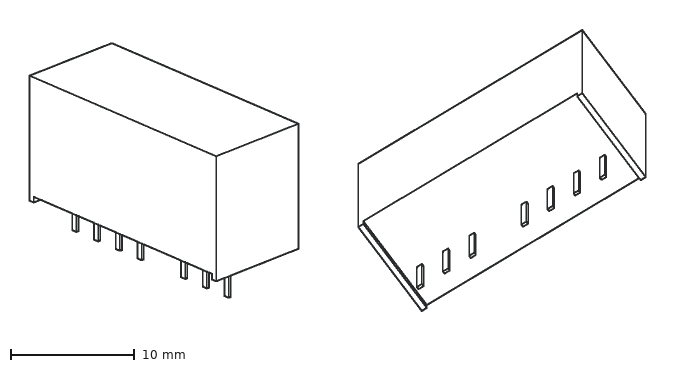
import cadquery as cq

housing_length = 21.8
housing_width = 9.2
total_height = 14.1
foot_length = 0.5
foot_height = 0.5

pin_width = 0.5
pin_thickness = 0.25
pin_below_feet = 3.0
pin_row_span = 17.79
pin_row_y = -1.4
pin_places = 8
empty_place = 4
pin_pitch = pin_row_span / (pin_places - 1)

housing_height = total_height - pin_below_feet
pin_length = pin_below_feet + foot_height


def make_housing():
    """Block with a channel across its underside that leaves a foot at each end."""
    block = cq.Workplane("XY").box(
        housing_length, housing_width, housing_height, centered=(True, True, False)
    )
    channel = cq.Workplane("XY").box(
        housing_length - 2 * foot_length, housing_width, foot_height, centered=(True, True, False)
    )
    return block.cut(channel)


def make_pin(x):
    """Flat pin hanging from the channel ceiling, centred at x."""
    return (
        cq.Workplane("XY")
        .box(pin_width, pin_thickness, pin_length, centered=(True, True, False))
        .translate((x, pin_row_y, -pin_below_feet))
    )


housing = make_housing()

first_pin_x = -pin_row_span / 2
pins = []
for place in range(pin_places):
    if place != empty_place:
        pins.append(make_pin(first_pin_x + place * pin_pitch))

result = cq.Compound.makeCompound([housing.val(), *[pin.val() for pin in pins]])